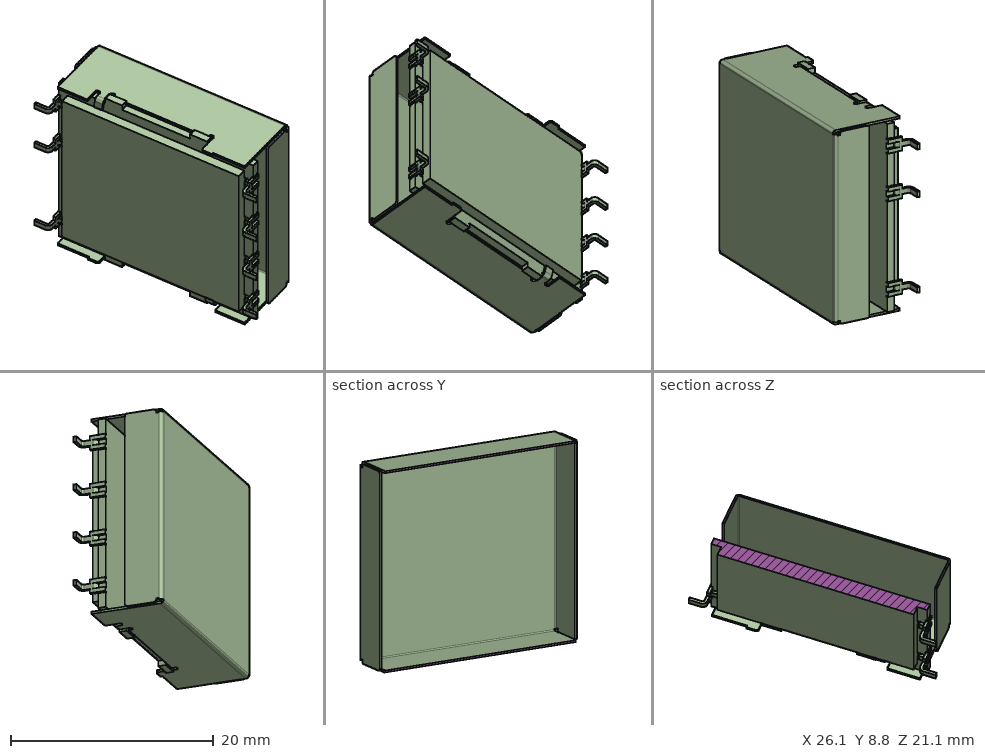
import cadquery as cq
import math

length = 26.15
depth = 8.8
back_y = depth / 2
foot_y = -depth / 2

can_width = 22.75
can_height = 20.67
sheet = 0.25
bend_radius = 0.37
wall_front_y = -3.32
flap_front_y = 0.4
flap_back_y = 3.75
flap_height = 20.45
flap_corner = 0.25
relief_depth = 0.25
relief_height = 19.72

opening_half = 6.07
relief_width = 0.52
relief_radius = 0.24
relief_back_y = -1.12
hook_width = 0.95
hook_slot_width = 0.52
hook_slot_corner = 0.15
hook_bend_y = -2.28
hook_bend_radius = 0.5
hook_angle = math.radians(75)
hook_length = 0.68
foot_tab_end = 7.3
foot_tab_front_y = -3.53
foot_tab_corner = 0.25

plate_width = 22.92
plate_height = 19.99
plate_back_y = -1.62
plate_front_y = -2.43
block_width = 20.82
block_height = 17.68
block_front_y = -3.45
ear_start = 4.0
ear_end = 6.02
overall_height = 21.1

pin_pitch = 5.08
pin_width = 0.58
pin_sheet = 0.31
leg_outer_x = 11.6
tongue_end_x = 10.67
pin_bend_radius = 0.5
frame_width = 1.45
frame_front_y = -3.27
window_front_y = -2.93
notch_width = 1.6
pocket_depth = 0.13
leg_inner_x = leg_outer_x - pin_sheet
pin_levels = [pin_pitch * step for step in (-1.5, -0.5, 0.5, 1.5)]
left_pin_levels = [pin_levels[0], pin_levels[2], pin_levels[3]]


def block(x0, x1, y0, y1, z0, z1):
    """Box between opposite corners."""
    return cq.Workplane("XY").box(x1 - x0, y1 - y0, z1 - z0, centered=False).translate((x0, y0, z0))


def half_turn(shape):
    """Copy turned half a turn around the Y axis."""
    return shape.rotate((0, 0, 0), (0, 1, 0), 180)


def folded_channel(plane, half_span, front_y, half_length):
    """U-shaped channel open to the front, with rounded folds, drawn as (across, Y)."""
    inner_half = half_span - sheet
    inner_back = back_y - sheet
    inner_radius = bend_radius - sheet
    outer_cut = bend_radius * (1 - math.sqrt(0.5))
    inner_cut = inner_radius * (1 - math.sqrt(0.5))
    return (
        cq.Workplane(plane)
        .moveTo(-half_span, front_y)
        .lineTo(-half_span, back_y - bend_radius)
        .threePointArc((-half_span + outer_cut, back_y - outer_cut), (-half_span + bend_radius, back_y))
        .lineTo(half_span - bend_radius, back_y)
        .threePointArc((half_span - outer_cut, back_y - outer_cut), (half_span, back_y - bend_radius))
        .lineTo(half_span, front_y)
        .lineTo(inner_half, front_y)
        .lineTo(inner_half, inner_back - inner_radius)
        .threePointArc((inner_half - inner_cut, inner_back - inner_cut),
                       (inner_half - inner_radius, inner_back))
        .lineTo(-inner_half + inner_radius, inner_back)
        .threePointArc((-inner_half + inner_cut, inner_back - inner_cut),
                       (-inner_half, inner_back - inner_radius))
        .lineTo(-inner_half, front_y)
        .close()
        .extrude(half_length, both=True)
    )


def wall_opening():
    """Cutter for the plate opening, its reliefs and the hook slot in the top wall."""
    z0 = can_height / 2 - 2 * sheet
    z1 = can_height / 2 + sheet
    hook_outer_x = -opening_half - hook_width
    cutter = block(-opening_half, opening_half, foot_y, plate_back_y, z0, z1)
    for side in (-1, 1):
        centre_x = side * (opening_half - relief_width / 2)
        relief = block(centre_x - relief_width / 2, centre_x + relief_width / 2,
                       plate_back_y - sheet, relief_back_y, z0, z1)
        cutter = cutter.union(relief.edges("|Z and >Y").fillet(relief_radius))
    slot = block(hook_outer_x - hook_slot_width, hook_outer_x, foot_y, plate_back_y, z0, z1)
    slot = slot.edges("|Z and >Y").fillet(hook_slot_corner)
    hook_front = block(hook_outer_x, -opening_half, foot_y, hook_bend_y, z0, z1)
    return cutter.union(slot).union(hook_front)


def hook():
    """Hook of the top wall, bent down in front of the plate."""
    top_z = can_height / 2
    centre_z = top_z - hook_bend_radius
    inner_radius = hook_bend_radius - sheet

    def on_bend(radius, angle, straight=0.0):
        y = hook_bend_y - radius * math.sin(angle) - straight * math.cos(angle)
        z = centre_z + radius * math.cos(angle) - straight * math.sin(angle)
        return (y, z)

    return (
        cq.Workplane("YZ", origin=(-opening_half - hook_width, 0, 0))
        .moveTo(hook_bend_y, top_z)
        .threePointArc(on_bend(hook_bend_radius, hook_angle / 2), on_bend(hook_bend_radius, hook_angle))
        .lineTo(*on_bend(hook_bend_radius, hook_angle, hook_length))
        .lineTo(*on_bend(inner_radius, hook_angle, hook_length))
        .lineTo(*on_bend(inner_radius, hook_angle))
        .threePointArc(on_bend(inner_radius, hook_angle / 2), on_bend(inner_radius, 0))
        .close()
        .extrude(hook_width)
    )


def foot_tab():
    """Short tab in front of the top wall edge, rounded next to the opening."""
    tab = block(opening_half, foot_tab_end, foot_tab_front_y, wall_front_y + sheet,
                can_height / 2 - sheet, can_height / 2)
    return tab.edges("|Z and <X and <Y").fillet(foot_tab_corner)


def side_flaps():
    """Full-height parts of both side walls, with rounded corners."""
    flap = block(can_width / 2 - sheet, can_width / 2, flap_front_y, flap_back_y,
                 -flap_height / 2, flap_height / 2)
    flap = flap.edges("|X").fillet(flap_corner)
    return flap.union(half_turn(flap))


def make_can():
    """Open can: long walls with their locking edges, short side walls and corner reliefs."""
    walls = folded_channel("ZY", can_height / 2, wall_front_y, can_width / 2 - bend_radius)
    sides = folded_channel("XY", can_width / 2, flap_front_y + flap_corner, can_height / 2 - bend_radius)
    for side in (-1, 1):
        relief_z = side * (relief_height / 2 + can_height / 2) / 2
        relief = cq.Workplane("XY").box(
            can_width + sheet, relief_depth, (can_height - relief_height) / 2
        ).translate((0, flap_back_y + relief_depth / 2, relief_z))
        sides = sides.cut(relief)
    opening = wall_opening()
    locks = hook().union(foot_tab())
    walls = walls.cut(opening).cut(half_turn(opening))
    walls = walls.union(locks).union(half_turn(locks))
    return walls.union(sides).union(side_flaps())


def make_plate():
    """Base plate with its front block and ears, notched and pocketed for the pins."""
    plate = block(-plate_width / 2, plate_width / 2, plate_front_y, plate_back_y,
                  -plate_height / 2, plate_height / 2)
    for x0 in (-ear_end, ear_start):
        plate = plate.union(block(x0, x0 + ear_end - ear_start, plate_front_y, plate_back_y,
                                  -overall_height / 2, overall_height / 2))
    for side, levels in ((-1, left_pin_levels), (1, pin_levels)):
        for level in levels:
            x0, x1 = sorted((side * leg_inner_x, side * plate_width / 2))
            plate = plate.cut(block(x0, x1, plate_front_y, plate_back_y,
                                    level - notch_width / 2, level + notch_width / 2))
            x0, x1 = sorted((side * block_width / 2, side * tongue_end_x))
            plate = plate.cut(block(x0, x1, plate_front_y, plate_front_y + pocket_depth,
                                    level - pin_width / 2, level + pin_width / 2))
    front_block = block(-block_width / 2, block_width / 2, block_front_y, plate_front_y,
                        -block_height / 2, block_height / 2)
    return plate.union(front_block)


def make_pin():
    """Pin on the +X side at Z = 0: slotted frame, bent tongue, leg and foot."""
    cut = 1 - math.sqrt(0.5)
    inner_radius = pin_bend_radius - pin_sheet
    tongue_front_y = plate_front_y - pin_sheet
    foot_top_y = foot_y + pin_sheet
    strip = (
        cq.Workplane("XY")
        .moveTo(tongue_end_x, plate_front_y)
        .lineTo(leg_outer_x - pin_bend_radius, plate_front_y)
        .threePointArc((leg_outer_x - pin_bend_radius * cut, plate_front_y - pin_bend_radius * cut),
                       (leg_outer_x, plate_front_y - pin_bend_radius))
        .lineTo(leg_outer_x, foot_top_y + inner_radius)
        .threePointArc((leg_outer_x + inner_radius * cut, foot_top_y + inner_radius * cut),
                       (leg_outer_x + inner_radius, foot_top_y))
        .lineTo(length / 2, foot_top_y)
        .lineTo(length / 2, foot_y)
        .lineTo(leg_inner_x + pin_bend_radius, foot_y)
        .threePointArc((leg_inner_x + pin_bend_radius * cut, foot_y + pin_bend_radius * cut),
                       (leg_inner_x, foot_y + pin_bend_radius))
        .lineTo(leg_inner_x, tongue_front_y - inner_radius)
        .threePointArc((leg_inner_x - inner_radius * cut, tongue_front_y - inner_radius * cut),
                       (leg_inner_x - inner_radius, tongue_front_y))
        .lineTo(tongue_end_x, tongue_front_y)
        .close()
        .extrude(pin_width / 2, both=True)
    )
    frame = block(leg_inner_x, leg_outer_x, frame_front_y, plate_back_y, -frame_width / 2, frame_width / 2)
    window = block(leg_inner_x, leg_outer_x, window_front_y, plate_back_y, -pin_width / 2, pin_width / 2)
    return strip.union(frame.cut(window))


result = make_can().union(make_plate())
pin = make_pin()
for pin_level in pin_levels:
    result = result.union(pin.translate((0, 0, pin_level)))
for pin_level in left_pin_levels:
    result = result.union(pin.mirror("YZ").translate((0, 0, pin_level)))